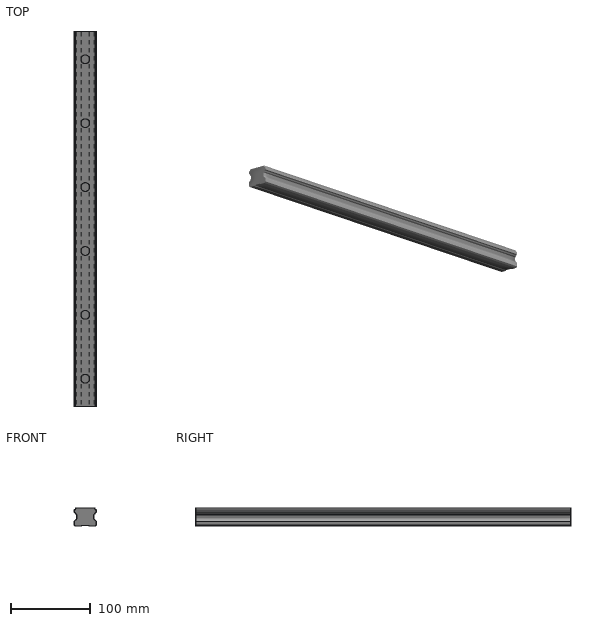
import cadquery as cq
import math

width = 28.0
height = 23.0
length = 470.0
half_width = width / 2

top_half_width = 12.0
flange_bottom_z = 17.5
flange_top_z = 20.3
raceway_height = 2.0
raceway_radius = 2.5

waist_half_width = 10.7
waist_top_z = 14.2
waist_bottom_z = 10.1
waist_fillet_radius = 3.0

base_top_half_width = 12.0
base_top_z = 8.05
base_side_top_z = base_top_z - (half_width - base_top_half_width)
base_chamfer = 1.7

relief_bottom_half_width = 5.2
relief_top_half_width = 4.8
relief_depth = 0.8

hole_count = 6
hole_pitch = 80.0
hole_diameter = 11.0
recess_depth = 0.2


def arc_midpoint(start, end, radius):
    """Middle point of the arc from start to end that bulges to the left of that direction."""
    dx = end[0] - start[0]
    dz = end[1] - start[1]
    chord = math.hypot(dx, dz)
    sagitta = radius - math.sqrt(radius**2 - (chord / 2) ** 2)
    mid_x = (start[0] + end[0]) / 2
    mid_z = (start[1] + end[1]) / 2
    return (mid_x - sagitta * dz / chord, mid_z + sagitta * dx / chord)


def half_section():
    """Right half of the rail section, closed along the centre plane."""
    base_top = (base_top_half_width, base_top_z)
    waist_bottom = (waist_half_width, waist_bottom_z)
    lower_raceway_start = (top_half_width, flange_bottom_z - raceway_height)
    lower_raceway_end = (half_width, flange_bottom_z)
    upper_raceway_start = (half_width, flange_top_z)
    upper_raceway_end = (top_half_width, flange_top_z + raceway_height)
    return (
        cq.Workplane("XZ", origin=(0, length / 2, 0))
        .moveTo(0, relief_depth)
        .lineTo(relief_top_half_width, relief_depth)
        .lineTo(relief_bottom_half_width, 0)
        .lineTo(half_width - base_chamfer, 0)
        .lineTo(half_width, base_chamfer)
        .lineTo(half_width, base_side_top_z)
        .lineTo(*base_top)
        .threePointArc(arc_midpoint(base_top, waist_bottom, waist_fillet_radius), waist_bottom)
        .lineTo(waist_half_width, waist_top_z)
        .lineTo(*lower_raceway_start)
        .threePointArc(
            arc_midpoint(lower_raceway_start, lower_raceway_end, raceway_radius), lower_raceway_end
        )
        .lineTo(*upper_raceway_start)
        .threePointArc(
            arc_midpoint(upper_raceway_start, upper_raceway_end, raceway_radius), upper_raceway_end
        )
        .lineTo(top_half_width, height)
        .lineTo(0, height)
        .close()
    )


def rail_body():
    """Extrude the half section along Y and mirror it to the other side."""
    return half_section().extrude(length).mirror("YZ", union=True).clean()


def hole_recesses():
    """Shallow round recesses, evenly spaced and centred along the rail."""
    return (
        cq.Workplane("XY", origin=(0, 0, height - recess_depth))
        .rarray(1, hole_pitch, 1, hole_count)
        .circle(hole_diameter / 2)
        .extrude(recess_depth)
    )


result = rail_body().cut(hole_recesses())